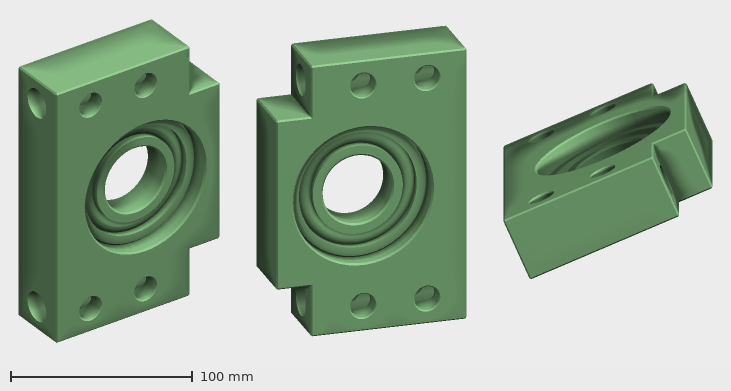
import cadquery as cq

thickness = 37.0
width = 110.0
height = 160.0
boss_depth = 20.0
boss_height = 100.0
corner_margin = 1.6
edge_chamfer = 0.88

bearing_width = 18.0
bearing_outer_diameter = 80.0
bearing_bore_diameter = 40.0
inner_ring_diameter = 52.0
outer_ring_diameter = 68.0
ball_diameter = 12.0
ring_chamfer = 1.0
bore_chamfer = 1.0
axis_from_base = 60.0

hole_spacing = 130.4
face_hole_pitch = 37.0
face_hole_diameter = 14.0
face_hole_chamfer = 0.6
cross_hole_diameter = 18.0

base_y = -axis_from_base
boss_y = base_y + width
shoulder_y = boss_y - boss_depth
hole_rows = [-hole_spacing / 2, hole_spacing / 2]
face_hole_columns = [0, -face_hole_pitch]


def chamfered_bore(diameter, chamfer, y, z):
    """Cutter along X through the whole housing, flared at both faces."""
    half = thickness / 2
    radius = diameter / 2
    flared = radius + chamfer
    profile = [
        (-half, 0),
        (-half, flared),
        (-half + chamfer, radius),
        (half - chamfer, radius),
        (half, flared),
        (half, 0),
    ]
    cutter = cq.Workplane("XY").polyline(profile).close().revolve(360, (0, 0), (1, 0))
    return cutter.translate((0, y, z))


def make_housing():
    """T-shaped block with the bearing bore and the mounting holes."""
    half_height = height / 2
    half_boss = boss_height / 2
    outline = [
        (base_y, -half_height),
        (shoulder_y, -half_height),
        (shoulder_y, -half_boss),
        (boss_y, -half_boss),
        (boss_y, half_boss),
        (shoulder_y, half_boss),
        (shoulder_y, half_height),
        (base_y, half_height),
    ]
    body = cq.Workplane("YZ").polyline(outline).close().extrude(thickness / 2, both=True)

    inside_corners = cq.selectors.BoxSelector(
        (-thickness, shoulder_y - corner_margin, -half_boss - corner_margin),
        (thickness, shoulder_y + corner_margin, half_boss + corner_margin),
    )
    corner_edges = body.edges("|X").edges(cq.selectors.InverseSelector(inside_corners))
    body = body.faces("<X or >X").edges().add(corner_edges).chamfer(edge_chamfer)

    body = body.cut(chamfered_bore(bearing_outer_diameter, bore_chamfer, 0, 0))
    for z in hole_rows:
        for y in face_hole_columns:
            body = body.cut(chamfered_bore(face_hole_diameter, face_hole_chamfer, y, z))
        cross_hole = cq.Workplane("XZ", origin=(0, boss_y, z)).circle(cross_hole_diameter / 2)
        body = body.cut(cross_hole.extrude(width))
    return body


def make_ring(inner_diameter, outer_diameter):
    """Plain bearing ring around the X axis."""
    ring = cq.Workplane("YZ").circle(outer_diameter / 2).circle(inner_diameter / 2)
    return ring.extrude(bearing_width / 2, both=True)


def make_bearing():
    """Inner and outer ring joined by a torus in place of the ball row."""
    inner_ring = make_ring(bearing_bore_diameter, inner_ring_diameter)
    inner_ring = inner_ring.edges(cq.selectors.RadiusNthSelector(0)).chamfer(ring_chamfer)
    outer_ring = make_ring(outer_ring_diameter, bearing_outer_diameter)
    outer_ring = outer_ring.edges(cq.selectors.RadiusNthSelector(-1)).chamfer(ring_chamfer)

    pitch_radius = (inner_ring_diameter + outer_ring_diameter) / 4
    balls = (
        cq.Workplane("XY")
        .center(0, pitch_radius)
        .circle(ball_diameter / 2)
        .revolve(360, (0, -pitch_radius), (1, -pitch_radius))
    )
    return inner_ring.union(balls).union(outer_ring)


housing = make_housing()
bearing = make_bearing()
result = cq.Compound.makeCompound([housing.val(), bearing.val()])